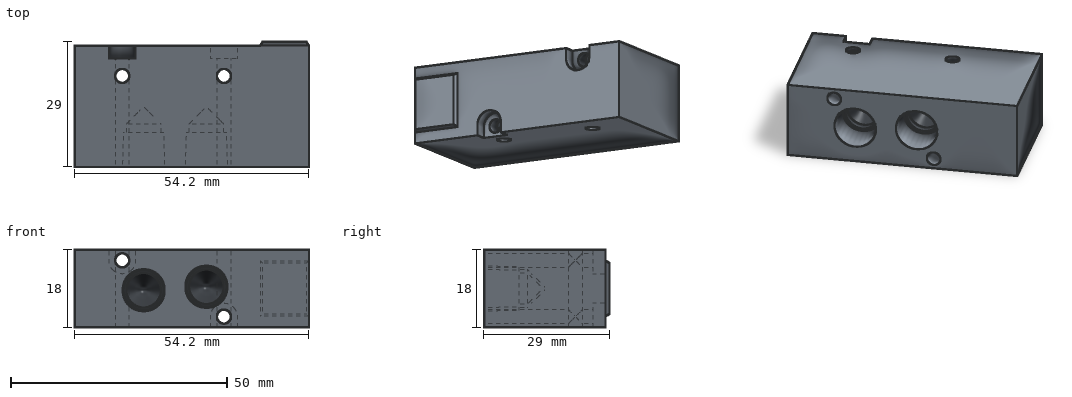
import cadquery as cq
import math

block_length = 54.2
total_depth = 29.0
block_height = 18.0
pad_height = 0.9
block_depth = total_depth - pad_height

screw_diameter = 3.2
left_screw_x = 11.0
right_screw_x = 34.5
screw_edge_distance = 2.5
vertical_hole_inset = 7.0

recess_width = 6.2
recess_depth = 3.0

port_centers = [(15.95, 8.6), (30.45, 9.4)]
port_mouth_diameter = 9.75
port_taper_ratio = 1 / 16
port_taper_depth = 8.0
drill_diameter = 8.0
drill_depth = 10.0
drill_point_angle = 90.0

pad_length = 11.2
pad_width = 12.8
pad_end_gap = 0.1
pad_draft_angle = 30.0


def make_block():
    return cq.Workplane("XY").box(block_length, block_depth, block_height, centered=False)


def rear_pad():
    center_x = block_length - pad_end_gap - pad_length / 2
    return (
        cq.Workplane("XZ", origin=(center_x, block_depth, block_height / 2))
        .rect(pad_length, pad_width)
        .extrude(-pad_height, taper=pad_draft_angle)
    )


def vertical_hole(x):
    return (
        cq.Workplane("XY", origin=(x, block_depth - vertical_hole_inset, 0))
        .circle(screw_diameter / 2)
        .extrude(block_height)
    )


def recessed_screw_hole(x, z, open_side_z):
    """Front-to-rear hole whose rear head recess opens onto the nearest long face."""
    hole = (
        cq.Workplane("XZ", origin=(x, 0, z))
        .circle(screw_diameter / 2)
        .extrude(-block_depth)
    )
    rear_plane = cq.Workplane("XZ", origin=(x, block_depth, z))
    round_seat = rear_plane.circle(recess_width / 2).extrude(recess_depth)
    opening_height = open_side_z - z
    opening = (
        rear_plane.center(0, opening_height / 2)
        .rect(recess_width, abs(opening_height))
        .extrude(recess_depth)
    )
    return hole.union(round_seat).union(opening)


def port(x, z):
    """Revolved port: tapered mouth, shoulder, drilled bore and conical drill point."""
    mouth_radius = port_mouth_diameter / 2
    taper_end_radius = mouth_radius - port_taper_depth * port_taper_ratio / 2
    drill_radius = drill_diameter / 2
    tip_depth = drill_depth + drill_radius / math.tan(math.radians(drill_point_angle / 2))
    return (
        cq.Workplane("XY", origin=(x, 0, z))
        .lineTo(mouth_radius, 0)
        .lineTo(taper_end_radius, port_taper_depth)
        .lineTo(drill_radius, port_taper_depth)
        .lineTo(drill_radius, drill_depth)
        .lineTo(0, tip_depth)
        .close()
        .revolve(360, (0, 0), (0, 1))
    )


result = make_block().union(rear_pad())

for hole_x in (left_screw_x, right_screw_x):
    result = result.cut(vertical_hole(hole_x))

upper_screw_z = block_height - screw_edge_distance
result = result.cut(recessed_screw_hole(left_screw_x, upper_screw_z, block_height))
result = result.cut(recessed_screw_hole(right_screw_x, screw_edge_distance, 0))

for port_x, port_z in port_centers:
    result = result.cut(port(port_x, port_z))